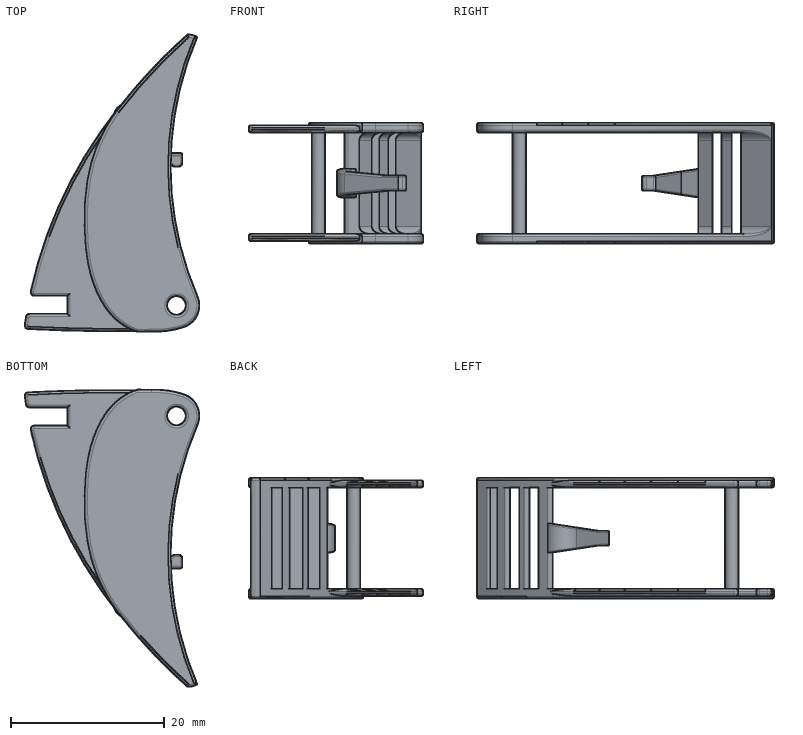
import cadquery as cq
import math

TOTAL_HEIGHT = 15.8
INNER_GAP = 13.2
HALF_HEIGHT = TOTAL_HEIGHT / 2
HALF_GAP = INNER_GAP / 2
FIN_THICKNESS = 0.97
EDGE_ROUND = 0.35

CLEARANCE = 19.4
MARGIN = 0.4

HOLE_CENTER = (19.8, 3.45)
HOLE_DIAMETER = 2.4
PIN_CENTER = (9.1, 5.55)
PIN_DIAMETER = 1.8

TIP_Y = 38.82
TIP_MIDDLE = (21.95, 38.75)
TIP_RIGHT = (22.5, 38.47)
BACK_CENTER = (69.65, -15.6)
BACK_JOIN = (12.0, 28.9)
BACK_RADIUS = math.dist(BACK_CENTER, BACK_JOIN)
CONCAVE_CENTER = (61.72, 21.55)
HEEL_RADIUS = 3.0
HEEL_END_ANGLE = math.radians(-71)
SOLE_START = (16.5, 0.05)
CLAW_BOTTOM = (14.8, 0.0)
BELLY = [(11.65, 1.85), (9.05, 6.1), (7.8, 13.6), (9.0, 23.15), (10.52, 26.55)]

PRONG_CORNER = (-0.08, 0.4)
FIN_BACK_MIDDLE = (5.12, 17.95)
FIN_BACK_END = (13.0, 30.12)
FIN_SOLE_MIDDLE = (7.1, 0.1)
FIN_SOLE_END = (15.9, 0.1)
FIN_CORNER_ROUND = 0.5
NOTCH_LOW = 2.35
NOTCH_HIGH = 4.7
NOTCH_END = 5.55

WALL_END = 28.9
WALL_INNER_LOW = (14.45, WALL_END)
WALL_INNER_HIGH = (22.5, 38.4)
WALL_FILLET = 0.97
LIP_ROUND = 0.45
THROUGH_SLOTS = [(30.8, 31.9), (33.3, 34.47)]
BLIND_SLOT = (36.15, 37.07)
BLIND_SLOT_FLOOR = 20.25
BLIND_LIP_ROUND = 0.27

TONGUE_ROOT = (12.5, 29.6)
TONGUE_ROOT_INNER = (14.35, 29.6)
TONGUE_BEND = (11.5, 27.68)
TONGUE_BEND_END = (12.45, 25.8)
TONGUE_THICKNESS = 1.0
TONGUE_LOW = (19.5, 21.55)
TONGUE_TIP = (20.57, 23.37)
TONGUE_ROOT_WIDTH = 3.95
TONGUE_TIP_WIDTH = 1.98
TONGUE_TAPER_END = 23.02
TONGUE_TIP_ROUND = 0.3
TONGUE_HEEL_ROUND = 0.55
TONGUE_EDGE_ROUND = 0.25


def on_circle(center, radius, angle):
    return (center[0] + radius * math.cos(angle), center[1] + radius * math.sin(angle))


def left_on_circle(center, radius, y):
    """X of the left-hand point of a circle at height y."""
    return center[0] - math.sqrt(radius**2 - (y - center[1]) ** 2)


def selection_box(x_min, y_min, x_max, y_max, half_height=TOTAL_HEIGHT):
    """Selector for what lies in an XY window, within half_height of Z = 0."""
    return cq.selectors.BoxSelector((x_min, y_min, -half_height), (x_max, y_max, half_height))


def across_gap(outline):
    """Extrude a closed XY outline from plate to plate."""
    return outline.extrude(INNER_GAP).translate((0, 0, -HALF_GAP))


def claw_blank():
    back_middle_y = (BACK_JOIN[1] + TIP_Y) / 2
    back_middle = (left_on_circle(BACK_CENTER, BACK_RADIUS, back_middle_y), back_middle_y)
    tip_left = (left_on_circle(BACK_CENTER, BACK_RADIUS, TIP_Y), TIP_Y)
    touch_angle = math.atan2(CONCAVE_CENTER[1] - HOLE_CENTER[1], CONCAVE_CENTER[0] - HOLE_CENTER[0])
    heel_start = on_circle(HOLE_CENTER, HEEL_RADIUS, touch_angle)
    heel_middle = on_circle(HOLE_CENTER, HEEL_RADIUS, 0)
    heel_end = on_circle(HOLE_CENTER, HEEL_RADIUS, HEEL_END_ANGLE)
    concave_middle = on_circle(CONCAVE_CENTER, math.dist(CONCAVE_CENTER, heel_start), math.pi)
    return (
        cq.Workplane("XY")
        .moveTo(*CLAW_BOTTOM)
        .spline(BELLY + [BACK_JOIN], includeCurrent=True)
        .threePointArc(back_middle, tip_left)
        .threePointArc(TIP_MIDDLE, TIP_RIGHT)
        .threePointArc(concave_middle, heel_start)
        .threePointArc(heel_middle, heel_end)
        .tangentArcPoint(SOLE_START, relative=False)
        .lineTo(*CLAW_BOTTOM)
        .close()
        .extrude(TOTAL_HEIGHT)
        .translate((0, 0, -HALF_HEIGHT))
    )


def space_below_wall():
    space = cq.Workplane("XY").box(4 * CLEARANCE, 2 * CLEARANCE, INNER_GAP)
    return space.translate((0, WALL_END - CLEARANCE, 0))


def space_beside_wall():
    """Space on the concave side of the wall, filleted where the wall meets the plates."""
    run = WALL_INNER_HIGH[0] - WALL_INNER_LOW[0]
    rise = WALL_INNER_HIGH[1] - WALL_INNER_LOW[1]
    below = (WALL_INNER_LOW[0] - run, WALL_INNER_LOW[1] - rise)
    above = (WALL_INNER_HIGH[0] + run, WALL_INNER_HIGH[1] + rise)
    right = WALL_INNER_HIGH[0] + CLEARANCE
    outline = cq.Workplane("XY").polyline([below, above, (right, above[1]), (right, below[1])]).close()
    return across_gap(outline).faces("<X").edges("not(|Z)").fillet(WALL_FILLET)


def lipped_cut(low, high, depth_x, lip_round):
    """Cut from the left up to depth_x, its upper lip rounded into the back of the claw."""
    lip_y = high + lip_round
    lip_center = (left_on_circle(BACK_CENTER, BACK_RADIUS - lip_round, lip_y), lip_y)
    back_angle = math.atan2(lip_y - BACK_CENTER[1], lip_center[0] - BACK_CENTER[0])
    face_angle = math.radians(270)
    outline = (
        cq.Workplane("XY")
        .moveTo(depth_x, low)
        .lineTo(depth_x, high)
        .lineTo(lip_center[0], high)
        .threePointArc(
            on_circle(lip_center, lip_round, (back_angle + face_angle) / 2),
            on_circle(lip_center, lip_round, back_angle),
        )
        .lineTo(*on_circle(lip_center, CLEARANCE, back_angle))
        .lineTo(lip_center[0] - CLEARANCE, low)
        .close()
    )
    return across_gap(outline)


def claw_body():
    body = claw_blank().cut(space_below_wall()).cut(space_beside_wall())
    body = body.faces("<Z or >Z").edges().fillet(EDGE_ROUND)
    inner_level = HALF_GAP + EDGE_ROUND / 2
    inner_faces = body.faces(selection_box(0, 0, CONCAVE_CENTER[0], WALL_END - MARGIN, inner_level))
    free_side = selection_box(FIN_SOLE_END[0], -MARGIN, CONCAVE_CENTER[0], WALL_END - MARGIN, inner_level)
    body = inner_faces.edges(free_side).fillet(EDGE_ROUND)
    body = body.cut(lipped_cut(WALL_END - LIP_ROUND, WALL_END, TIP_RIGHT[0], LIP_ROUND))
    for low, high in THROUGH_SLOTS:
        body = body.cut(lipped_cut(low, high, TIP_RIGHT[0], LIP_ROUND))
    return body.cut(lipped_cut(*BLIND_SLOT, BLIND_SLOT_FLOOR, BLIND_LIP_ROUND))


def upper_fin():
    plate = (
        cq.Workplane("XY", origin=(0, 0, HALF_GAP))
        .moveTo(*FIN_SOLE_END)
        .threePointArc(FIN_SOLE_MIDDLE, PRONG_CORNER)
        .threePointArc(FIN_BACK_MIDDLE, FIN_BACK_END)
        .close()
        .extrude(FIN_THICKNESS)
    )
    notch = (
        cq.Workplane("XY")
        .moveTo(NOTCH_END, NOTCH_LOW)
        .lineTo(NOTCH_END, NOTCH_HIGH)
        .lineTo(-CLEARANCE, NOTCH_HIGH)
        .lineTo(-CLEARANCE, NOTCH_LOW)
        .close()
        .extrude(TOTAL_HEIGHT)
    )
    outer_corners = selection_box(-MARGIN, 0, NOTCH_END - MARGIN, NOTCH_HIGH + MARGIN)
    plate = plate.cut(notch).edges("|Z").edges(outer_corners).fillet(FIN_CORNER_ROUND)
    free_edges = selection_box(-MARGIN, -MARGIN, BACK_JOIN[0], BACK_JOIN[1])
    return plate.faces("<Z or >Z").edges(free_edges).fillet(EDGE_ROUND)


def add_pivot_hole(body):
    hole = cq.Workplane("XY").center(*HOLE_CENTER).circle(HOLE_DIAMETER / 2).extrude(HALF_HEIGHT, both=True)
    body = body.cut(hole)
    x, y = HOLE_CENTER
    near_hole = selection_box(x - MARGIN, y - MARGIN, x + MARGIN, y + MARGIN)
    return body.faces("<Z or >Z").edges("%CIRCLE").edges(near_hole).fillet(EDGE_ROUND)


def tongue():
    bend_x, bend_y = TONGUE_BEND_END
    slope = (TONGUE_LOW[1] - bend_y) / (TONGUE_LOW[0] - bend_x)
    inner_bend_end = on_circle(TONGUE_BEND_END, TONGUE_THICKNESS, math.atan(slope) + math.pi / 2)
    hook_x = inner_bend_end[0] + (TONGUE_TIP[1] - inner_bend_end[1]) / slope
    blade = (
        cq.Workplane("XY")
        .moveTo(*TONGUE_ROOT)
        .threePointArc(TONGUE_BEND, TONGUE_BEND_END)
        .lineTo(*TONGUE_LOW)
        .lineTo(TONGUE_TIP[0], TONGUE_LOW[1])
        .lineTo(*TONGUE_TIP)
        .lineTo(hook_x, TONGUE_TIP[1])
        .lineTo(*inner_bend_end)
        .lineTo(*TONGUE_ROOT_INNER)
        .close()
        .extrude(TONGUE_ROOT_WIDTH)
        .translate((0, 0, -TONGUE_ROOT_WIDTH / 2))
    )
    taper = (
        cq.Workplane("YZ")
        .moveTo(0, 0)
        .lineTo(0, TONGUE_TIP_WIDTH / 2)
        .lineTo(TONGUE_TAPER_END, TONGUE_TIP_WIDTH / 2)
        .lineTo(TONGUE_ROOT[1], TONGUE_ROOT_WIDTH / 2)
        .lineTo(TONGUE_ROOT[1], 0)
        .close()
        .extrude(2 * CLEARANCE)
    )
    blade = blade.intersect(taper.union(taper.mirror("XY")))
    blade = blade.faces(">X").edges(">Y").fillet(TONGUE_TIP_ROUND)
    blade = blade.faces(">X").edges("<Y").fillet(TONGUE_HEEL_ROUND)
    below_root = selection_box(0, 0, 2 * CLEARANCE, TONGUE_ROOT[1] - MARGIN / 10)
    return blade.faces("<X or #Z").edges("not |Z").edges(below_root).fillet(TONGUE_EDGE_ROUND)


pin = across_gap(cq.Workplane("XY").center(*PIN_CENTER).circle(PIN_DIAMETER / 2))
fin = upper_fin()
result = claw_body().union(fin).union(fin.mirror("XY"))
result = add_pivot_hole(result).union(pin).union(tongue()).solids()